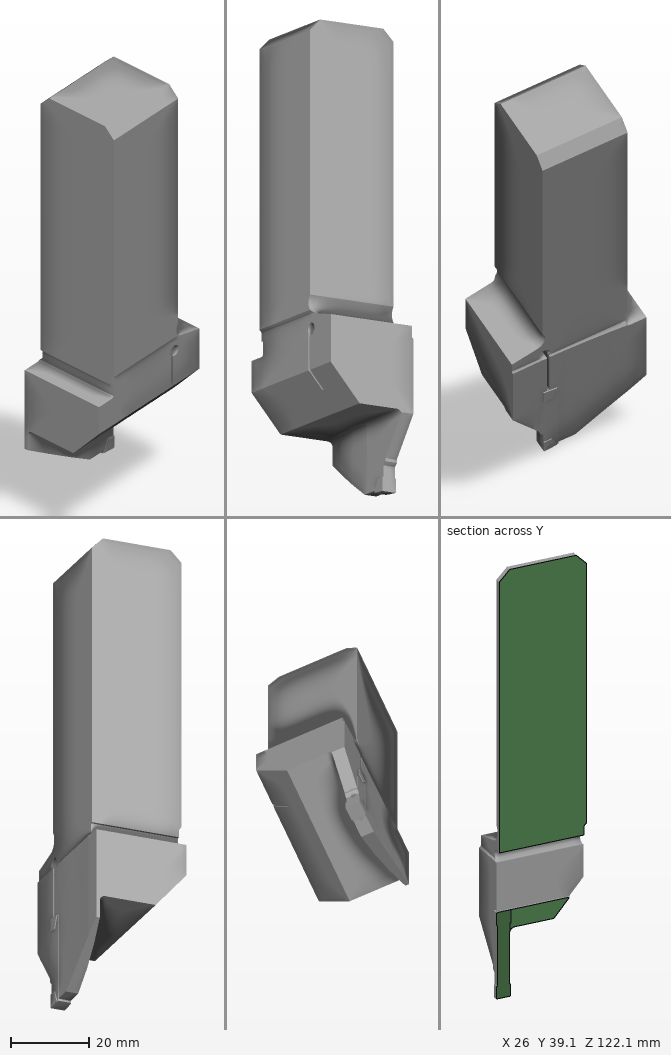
import cadquery as cq

shank_size = 25.0
total_height = 122.1
end_chamfer = 3.0

relief = 0.7
side_relief_top = 45.0
front_relief_top = 42.1

head_front = -5.0
head_back = 34.1
ledge_height = 38.0
ledge_lip = 0.5
head_front_bottom = 13.4
nose_y = 15.8
nose_z = 1.0
jaw_top = 42.1
jaw_bottom = 18.9
jaw_tip_z = 8.5
jaw_neck_top = 49.1
jaw_neck_mid = (24.3, 46.8)
jaw_neck_bottom = (26.5, 44.0)

block_bottom = 19.7
block_slope_top = 29.5
block_slope_x = 15.6
bevel_top = 39.2
blade_root_fillet = 1.5

blade_outer_front = -1.0
blade_outer_back = -0.5
outer_arc_start = 0.0
outer_arc_end = 32.0
blade_inner_front = 0.0
blade_inner_back = 3.0
inner_arc_mid = (2.5, 8.8)
inner_arc_end = 17.1

slit_width = 0.7
slit_y = 23.6
hole_radius = 1.6
hole_y = 24.4
hole_z = 40.3

insert_length = 24.9
insert_front = 20.6
insert_back = 25.0
insert_ridge = 26.0
ridge_bottom = 7.7
ridge_top = 18.2
ridge_slope = 0.9
tip_relief = 0.4
cutter_left = -0.7
cutter_right = 3.3
cutter_height = 3.8
cutter_front = insert_front + 0.5
cutter_knee_y = 22.6


def side_prism(points, x_start, x_end):
    """Prism along X from a closed polygon of (Y, Z) points."""
    profile = cq.Workplane("YZ", origin=(x_start, 0, 0)).polyline(points).close()
    return profile.extrude(x_end - x_start)


def front_prism(points):
    """Prism along Y over the whole depth of the head, from (X, Z) points."""
    profile = cq.Workplane("XZ", origin=(0, head_back, 0)).polyline(points).close()
    return profile.extrude(head_back - head_front)


def make_side_profile():
    """Full silhouette of the holder, extruded over its whole width."""
    return (
        cq.Workplane("YZ", origin=(blade_outer_front, 0, 0))
        .moveTo(0, total_height)
        .lineTo(0, front_relief_top)
        .lineTo(relief, front_relief_top)
        .lineTo(relief, ledge_height + ledge_lip)
        .lineTo(relief - ledge_lip, ledge_height)
        .lineTo(head_front, ledge_height)
        .lineTo(head_front, head_front_bottom)
        .lineTo(nose_y, nose_z)
        .lineTo(insert_front, nose_z)
        .lineTo(insert_front, ridge_bottom)
        .lineTo(insert_ridge, ridge_bottom)
        .lineTo(insert_ridge, jaw_tip_z)
        .lineTo(head_back, jaw_bottom)
        .lineTo(head_back, jaw_top)
        .lineTo(*jaw_neck_bottom)
        .threePointArc(jaw_neck_mid, (shank_size, jaw_neck_top))
        .lineTo(shank_size, total_height)
        .close()
        .extrude(shank_size - blade_outer_front)
    )


def make_front_envelope():
    """Region seen from the front: chamfered shank, relieved side and sloped block."""
    relieved_x = shank_size - relief
    return front_prism([
        (end_chamfer, total_height),
        (shank_size - end_chamfer, total_height),
        (shank_size, total_height - end_chamfer),
        (shank_size, side_relief_top),
        (relieved_x, side_relief_top - relief),
        (relieved_x, block_slope_top),
        (block_slope_x, block_bottom),
        (blade_outer_front, block_bottom),
        (blade_outer_front, bevel_top + blade_outer_front),
        (0, bevel_top),
        (0, total_height - end_chamfer),
    ])


def start_plan():
    """Outer curved blade face in plan, drawn from the front to the back."""
    arc_mid = (blade_outer_back, (outer_arc_start + outer_arc_end) / 2)
    return (
        cq.Workplane("XY")
        .moveTo(blade_outer_front, head_front)
        .lineTo(blade_outer_front, outer_arc_start)
        .threePointArc(arc_mid, (blade_outer_back, outer_arc_end))
        .lineTo(blade_outer_back, head_back)
    )


def make_plan_envelope():
    return (
        start_plan()
        .lineTo(shank_size, head_back)
        .lineTo(shank_size, head_front)
        .close()
        .extrude(total_height)
    )


def make_blade():
    """Thin curved blade, reaching up to the underside of the block."""
    return (
        start_plan()
        .lineTo(blade_inner_back, head_back)
        .lineTo(blade_inner_back, inner_arc_end)
        .threePointArc(inner_arc_mid, (blade_inner_front, head_front))
        .close()
        .extrude(block_bottom)
    )


def make_root_edges_selector():
    """Box around the corner between the blade's inner face and the block."""
    margin = 0.1
    return cq.selectors.BoxSelector(
        (blade_inner_front - margin, head_front, block_bottom - margin),
        (blade_inner_back + margin, head_back, block_bottom + margin),
    )


def make_slit():
    slit_height = hole_z - insert_length
    slit = (
        cq.Workplane("XY", origin=(0, slit_y, insert_length))
        .box(2 * shank_size, slit_width, slit_height, centered=(True, True, False))
    )
    hole = (
        cq.Workplane("YZ")
        .center(hole_y, hole_z)
        .circle(hole_radius)
        .extrude(shank_size, both=True)
    )
    return slit.union(hole)


def make_cutter():
    """Lower cutting head, wider than the bar of the insert."""
    return side_prism(
        [
            (insert_back, 0),
            (cutter_front, tip_relief),
            (cutter_knee_y, cutter_height),
            (insert_back, cutter_height),
        ],
        cutter_left,
        cutter_right,
    )


def make_insert():
    bar = side_prism(
        [
            (insert_back, 0),
            (insert_front, tip_relief),
            (insert_front, insert_length - tip_relief),
            (insert_back, insert_length),
            (insert_back, ridge_top),
            (insert_ridge, ridge_top - ridge_slope),
            (insert_ridge, ridge_bottom),
            (insert_back, ridge_bottom - ridge_slope),
        ],
        blade_outer_back,
        blade_inner_back,
    )
    lower_cutter = make_cutter()
    upper_cutter = lower_cutter.mirror("XY", (0, 0, insert_length / 2))
    return bar.union(lower_cutter).union(upper_cutter)


def make_holder(insert):
    bulk = make_front_envelope().intersect(make_plan_envelope())
    bulk = bulk.union(make_blade())
    bulk = bulk.edges(make_root_edges_selector()).fillet(blade_root_fillet)
    holder = bulk.intersect(make_side_profile())
    return holder.cut(insert).cut(make_slit())


insert = make_insert()
holder = make_holder(insert)

result = cq.Compound.makeCompound([holder.solids().val(), insert.solids().val()])